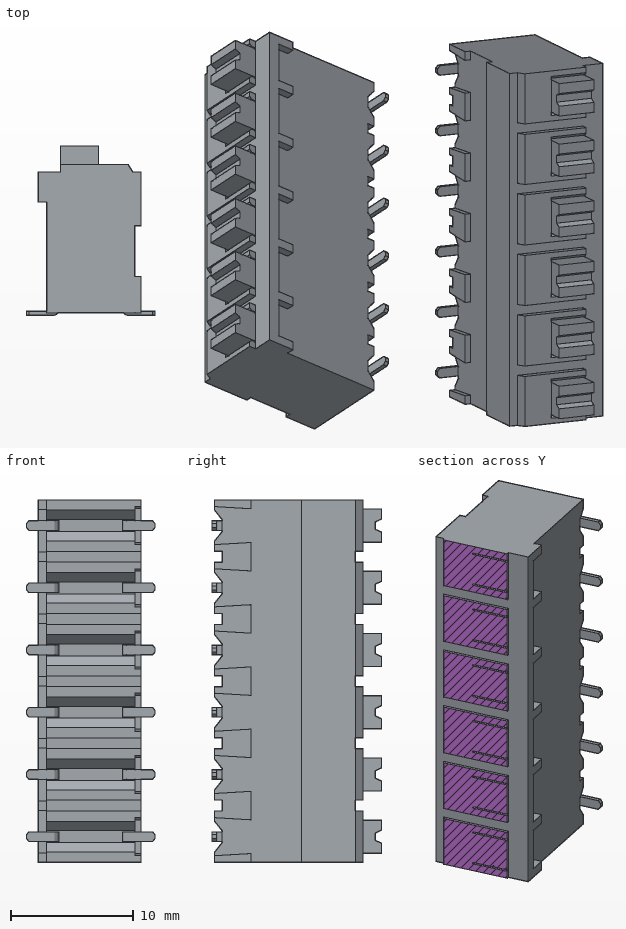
import cadquery as cq


LENGTH = 29.6
POSITIONS = 6
MODULE_LENGTH = 4.2
PITCH = (LENGTH - MODULE_LENGTH) / (POSITIONS - 1)
MODULE_GAP = PITCH - MODULE_LENGTH
CENTERS = [(i - (POSITIONS - 1) / 2) * PITCH for i in range(POSITIONS)]
BOUNDARIES = [z + PITCH / 2 for z in CENTERS[:-1]]

LEFT = -3.6
RIGHT = 4.1
SHOULDER_Y = 11.5
RIDGE_Y = 12.15
RIDGE_LEFT = -2.5
RIDGE_RIGHT = 3.43
RIDGE_CHAMFER = 0.38
RECESS_FLOOR_X = 3.6
RECESS_START_Y = 3.0
RECESS_END_Y = 7.1

RAIL_LEFT = -4.3
RAIL_START_Y = 10.55
TAB_START_Y = 9.05
TAB_WIDTH = 0.77

GROOVE_DEPTH = 0.62
V_MOUTH_WIDTH = 2.52
V_FLOOR_WIDTH = 0.98
SIDE_SLOT_MOUTH_WIDTH = 3.1
SIDE_SLOT_INNER_WIDTH = 2.75

LUG_RIGHT = 0.65
LUG_Y = 13.65
LUG_WIDTH = 2.72
LUG_NOTCH_MOUTH = 1.07
LUG_NOTCH_FLOOR = 0.6
LUG_NOTCH_DEPTH = 0.5
LUG_SLOT_WIDTH = 2.87
LUG_SLOT_CHAMFER = 0.2

PIN_SPAN = 10.5
PIN_FRONT_Y = -0.2
PIN_THICKNESS = 0.35
PIN_WIDTH = 0.8
PIN_INNER_X = 2.58
PIN_BEND_RADIUS = 0.53
PIN_ROOT_Y = 0.9
PIN_TIP_LENGTH = 0.2
PIN_TIP_INSET = 0.25


def box(x0, x1, y0, y1, z_center, height):
    """Box from its X and Y limits, centred on z_center."""
    return (
        cq.Workplane("XY", origin=((x0 + x1) / 2, (y0 + y1) / 2, z_center))
        .box(x1 - x0, y1 - y0, height)
    )


def prism_along_x(points, x0, x1, z_center):
    """Extrude a (y, z) outline from x0 to x1, with z measured from z_center."""
    return (
        cq.Workplane("YZ", origin=(x0, 0, z_center))
        .polyline(points).close()
        .extrude(x1 - x0)
    )


def trapezoid(y0, width0, y1, width1):
    """Outline symmetric in z: width0 wide at y0 and width1 wide at y1."""
    return [(y0, -width0 / 2), (y1, -width1 / 2), (y1, width1 / 2), (y0, width0 / 2)]


def housing_block():
    outline = [
        (LEFT, 0),
        (RIGHT, 0),
        (RIGHT, RECESS_START_Y),
        (RECESS_FLOOR_X, RECESS_START_Y),
        (RECESS_FLOOR_X, RECESS_END_Y),
        (RIGHT, RECESS_END_Y),
        (RIGHT, SHOULDER_Y),
        (RIDGE_RIGHT, SHOULDER_Y),
        (RIDGE_RIGHT - RIDGE_CHAMFER, RIDGE_Y),
        (RIDGE_LEFT, RIDGE_Y),
        (RIDGE_LEFT, SHOULDER_Y),
        (LEFT, SHOULDER_Y),
    ]
    return (
        cq.Workplane("XY", origin=(0, 0, -LENGTH / 2))
        .polyline(outline).close()
        .extrude(LENGTH)
    )


def rail_with_tabs():
    rail = box(RAIL_LEFT, LEFT, RAIL_START_Y, SHOULDER_Y, 0, LENGTH)
    end_tab_z = (LENGTH - TAB_WIDTH) / 2
    for z in [-end_tab_z, *BOUNDARIES, end_tab_z]:
        rail = rail.union(box(RAIL_LEFT, LEFT, TAB_START_Y, SHOULDER_Y, z, TAB_WIDTH))
    return rail


def boundary_grooves(z):
    """Grooves that part neighbouring modules at the front and along the ridge."""
    front = box(LEFT, RIGHT, 0, GROOVE_DEPTH, z, MODULE_GAP)
    back = box(RIDGE_LEFT, RIDGE_RIGHT, SHOULDER_Y, RIDGE_Y, z, MODULE_GAP)
    return front.union(back)


def contact_cuts(z):
    """V groove behind the pins, slot in the right side wall and slot around the lug."""
    v_groove = trapezoid(0, V_MOUTH_WIDTH, GROOVE_DEPTH, V_FLOOR_WIDTH)
    side_slot = trapezoid(0, SIDE_SLOT_MOUTH_WIDTH, RECESS_START_Y, SIDE_SLOT_INNER_WIDTH)
    lug_slot_mouth = trapezoid(
        RIDGE_Y - LUG_SLOT_CHAMFER, LUG_SLOT_WIDTH,
        RIDGE_Y, LUG_SLOT_WIDTH + 2 * LUG_SLOT_CHAMFER,
    )
    return (
        prism_along_x(v_groove, LEFT, RIGHT, z)
        .union(prism_along_x(side_slot, RECESS_FLOOR_X, RIGHT, z))
        .union(prism_along_x(lug_slot_mouth, RIDGE_LEFT, LUG_RIGHT, z))
        .union(box(RIDGE_LEFT, LUG_RIGHT, SHOULDER_Y, RIDGE_Y, z, LUG_SLOT_WIDTH))
    )


def lug(z):
    block = box(RIDGE_LEFT, LUG_RIGHT, SHOULDER_Y, LUG_Y, z, LUG_WIDTH)
    notch = trapezoid(LUG_Y, LUG_NOTCH_MOUTH, LUG_Y - LUG_NOTCH_DEPTH, LUG_NOTCH_FLOOR)
    return block.cut(prism_along_x(notch, RIDGE_LEFT, LUG_RIGHT, z))


def right_pin():
    """Pin that leaves the housing toward -Y and bends outward to +X, centred on Z = 0."""
    tip_x = PIN_SPAN / 2
    back_y = PIN_FRONT_Y + PIN_THICKNESS
    bend_x = PIN_INNER_X + PIN_BEND_RADIUS
    bend_y = PIN_FRONT_Y + PIN_BEND_RADIUS
    inner_radius = PIN_BEND_RADIUS - PIN_THICKNESS
    pin = (
        cq.Workplane("XY", origin=(0, 0, -PIN_WIDTH / 2))
        .moveTo(PIN_INNER_X, PIN_ROOT_Y)
        .lineTo(PIN_INNER_X, bend_y)
        .radiusArc((bend_x, PIN_FRONT_Y), -PIN_BEND_RADIUS)
        .lineTo(tip_x, PIN_FRONT_Y)
        .lineTo(tip_x, back_y)
        .lineTo(bend_x, back_y)
        .radiusArc((bend_x - inner_radius, bend_y), inner_radius)
        .lineTo(bend_x - inner_radius, PIN_ROOT_Y)
        .close()
        .extrude(PIN_WIDTH)
    )
    for side in (-1, 1):
        corner = (
            cq.Workplane("XZ", origin=(0, back_y, 0))
            .moveTo(tip_x, side * PIN_WIDTH / 2)
            .lineTo(tip_x - PIN_TIP_LENGTH, side * PIN_WIDTH / 2)
            .lineTo(tip_x, side * (PIN_WIDTH / 2 - PIN_TIP_INSET))
            .close()
            .extrude(PIN_THICKNESS)
        )
        pin = pin.cut(corner)
    return pin


result = housing_block().union(rail_with_tabs())
for z in BOUNDARIES:
    result = result.cut(boundary_grooves(z))
for z in CENTERS:
    result = result.cut(contact_cuts(z))

pin_pair = right_pin().union(right_pin().mirror("YZ"))
for z in CENTERS:
    result = result.union(lug(z)).union(pin_pair.translate((0, 0, z)))